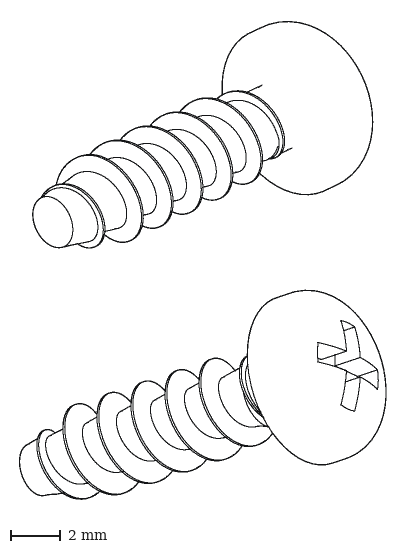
import cadquery as cq
import math


total_length = 16.63
head_height = 2.63
shank_length = total_length - head_height

head_radius = 7.0 / 2
head_rim_height = 0.75
head_edge_fillet = 0.05
dome_edge_radius = 2.7
dome_edge_height = 1.98
shoulder_radius = 1.3
dome_radius = 5.65

recess_width = 0.85
recess_span = 3.76
recess_depth = 1.33

neck_radius = 1.4
neck_fillet = 0.6
neck_length = 2.01
neck_cone_length = 0.78

core_radius = 1.372
core_floor_radius = 1.11
tip_radius = 1.08
tip_dish_radius = 0.98
tip_dish_depth = 0.05
tip_slope = 0.17

thread_start = 1.48
thread_length = 12.34
thread_turns = 6.9
thread_pitch = thread_length / thread_turns
start_angle = -90.0
crest_width = 0.1
flank_angle = 15.0
thread_root_radius = 1.0
crest_stages = [(0.0, 1.38), (0.25, 1.58), (1.25, 2.0), (5.5, 2.0), (thread_turns, 1.1)]

groove_start_turn = -0.9
groove_turns = 7
groove_top_offset = 0.05
groove_end_gap = 0.03
groove_overshoot = 0.008

points_per_turn = 16


def helical_edge(turns, radii, offsets):
    """Curve around the screw axis whose radius and axial offset change evenly from end to end."""
    steps = max(4, math.ceil((turns[1] - turns[0]) * points_per_turn))
    points = []
    for step in range(steps + 1):
        part = step / steps
        turn = turns[0] + part * (turns[1] - turns[0])
        radius = radii[0] + part * (radii[1] - radii[0])
        offset = offsets[0] + part * (offsets[1] - offsets[0])
        angle = math.radians(start_angle + 360 * turn)
        axial = thread_start + turn * thread_pitch + offset
        points.append(cq.Vector(radius * math.cos(angle), -axial, radius * math.sin(angle)))
    return cq.Edge.makeSpline(points)


def helical_solid(stages):
    """Closed helical body through stages of (turn, [(radius, axial offset) of each corner])."""
    corner_count = len(stages[0][1])
    faces = []
    caps = []
    for (turn_a, corners_a), (turn_b, corners_b) in zip(stages, stages[1:]):
        edges = [
            helical_edge((turn_a, turn_b), (a[0], b[0]), (a[1], b[1]))
            for a, b in zip(corners_a, corners_b)
        ]
        for i in range(corner_count):
            faces.append(cq.Face.makeRuledSurface(edges[i], edges[(i + 1) % corner_count]))
        caps.append(([e.startPoint() for e in edges], [e.endPoint() for e in edges]))
    for corners in (caps[0][0], caps[-1][1]):
        faces.append(cq.Face.makeFromWires(cq.Wire.makePolygon(corners, close=True)))
    solid = cq.Solid.makeSolid(cq.Shell.makeShell(faces))
    return cq.Workplane(solid.fix())


def revolved(profile):
    return profile.close().revolve(360, (0, 0, 0), (0, 1, 0))


def thread_corners(crest_radius):
    crest_half = crest_width / 2
    flank = (crest_radius - thread_root_radius) * math.tan(math.radians(flank_angle))
    root_half = crest_half + flank
    return [
        (thread_root_radius, -root_half),
        (crest_radius, -crest_half),
        (crest_radius, crest_half),
        (thread_root_radius, root_half),
    ]


def make_thread():
    return helical_solid([(turn, thread_corners(radius)) for turn, radius in crest_stages])


def make_groove():
    end_offset = thread_pitch - groove_end_gap
    slope = (core_radius - core_floor_radius) / (end_offset - groove_top_offset)
    top_radius = core_radius + groove_overshoot
    corners = [
        (top_radius, groove_top_offset - groove_overshoot / slope),
        (top_radius, end_offset),
        (core_floor_radius, end_offset),
    ]
    return helical_solid([(groove_start_turn + turn, corners) for turn in range(groove_turns + 1)])


def make_core():
    blank_length = 1.5 * shank_length
    blank = cq.Workplane("XZ").circle(core_radius).extrude(blank_length, both=True)
    dish_curve_radius = (tip_dish_radius**2 + tip_dish_depth**2) / (2 * tip_dish_depth)
    envelope = revolved(
        cq.Workplane("XY")
        .moveTo(0, -neck_length)
        .lineTo(neck_radius, -neck_length)
        .lineTo(neck_radius, -shank_length + (neck_radius - tip_radius) / tip_slope)
        .lineTo(tip_radius, -shank_length)
        .lineTo(tip_dish_radius, -shank_length)
        .radiusArc((0, -shank_length + tip_dish_depth), -dish_curve_radius)
    )
    return blank.cut(make_groove()).intersect(envelope)


def make_neck():
    return revolved(
        cq.Workplane("XY")
        .moveTo(0, head_edge_fillet)
        .lineTo(neck_radius + neck_fillet, head_edge_fillet)
        .lineTo(neck_radius + neck_fillet, 0)
        .radiusArc((neck_radius, -neck_fillet), -neck_fillet)
        .lineTo(neck_radius, -neck_length)
        .lineTo(core_floor_radius, -neck_length - neck_cone_length)
        .lineTo(0, -neck_length - neck_cone_length)
    )


def make_recess():
    floor = head_height - recess_depth
    size_y = 2 * recess_depth
    cross = cq.Workplane("XY").box(recess_span, size_y, recess_width)
    cross = cross.union(cq.Workplane("XY").box(recess_width, size_y, recess_span))
    limit = cq.Workplane("XZ").circle(recess_span / 2).extrude(recess_depth, both=True)
    return cross.intersect(limit).translate((0, floor + size_y / 2, 0))


def make_head():
    dome_drop = dome_radius - math.sqrt(dome_radius**2 - dome_edge_radius**2)
    head = revolved(
        cq.Workplane("XY")
        .lineTo(head_radius, 0)
        .lineTo(head_radius, head_rim_height)
        .radiusArc((dome_edge_radius, dome_edge_height), -shoulder_radius)
        .radiusArc((0, dome_edge_height + dome_drop), -dome_radius)
    )
    head = head.faces("<Y").edges().fillet(head_edge_fillet)
    return head.cut(make_recess())


result = make_core().union(make_neck()).union(make_thread()).union(make_head())